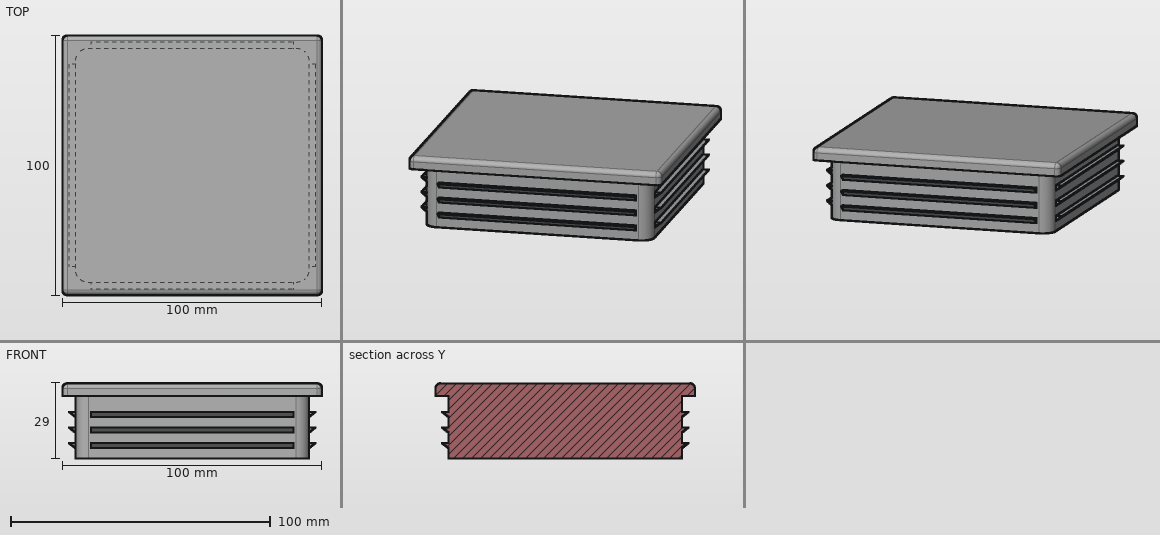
import cadquery as cq

plate_side = 100.0
plate_thickness = 5.0
plate_round = 2.0

plate_overhang = 5.0
plug_side = plate_side - 2 * plate_overhang
plug_height = 24.0
plug_corner_radius = 5.0

rib_projection = 2.5
rib_height = 2.0
rib_count = 3
rib_pitch = 6.0
lowest_rib_top = 6.0
rib_end_gap = 1.0
rib_length = plug_side - 2 * (plug_corner_radius + rib_end_gap)
rib_embed = 1.0

wall_count = 4
wall_turn = 360.0 / wall_count


def make_plate():
    """Cover plate with rounded corners and a rounded top rim."""
    plate = cq.Workplane("XY").workplane(offset=plug_height).rect(plate_side, plate_side)
    plate = plate.extrude(plate_thickness)
    plate = plate.edges("|Z").fillet(plate_round)
    return plate.faces(">Z").edges().fillet(plate_round)


def make_plug():
    """Plug block with rounded vertical corners, standing on Z = 0."""
    plug = cq.Workplane("XY").rect(plug_side, plug_side).extrude(plug_height)
    return plug.edges("|Z").fillet(plug_corner_radius)


def make_rib(top_z):
    """Rib on the +X wall: flat on top, sloping back to the wall below."""
    wall_x = plug_side / 2
    inner_x = wall_x - rib_embed
    bottom_z = top_z - rib_height
    profile = [
        (inner_x, top_z),
        (wall_x + rib_projection, top_z),
        (wall_x, bottom_z),
        (inner_x, bottom_z),
    ]
    return cq.Workplane("XZ").polyline(profile).close().extrude(rib_length / 2, both=True)


result = make_plate().union(make_plug())
for level in range(rib_count):
    rib = make_rib(lowest_rib_top + level * rib_pitch)
    for wall in range(wall_count):
        result = result.union(rib.rotate((0, 0, 0), (0, 0, 1), wall * wall_turn))